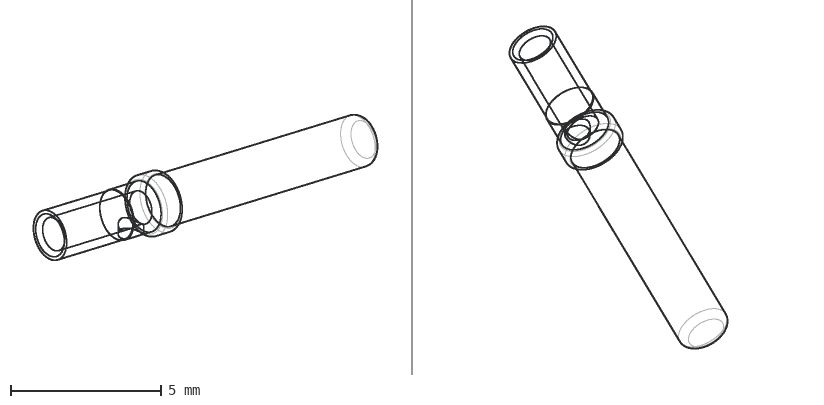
import cadquery as cq
import math

length = 13.63

barrel_diameter = 1.72
shoulder_diameter = 1.76
body_diameter = 1.79
collar_diameter = 2.13

barrel_length = 2.89
collar_start = 4.09
collar_end = 4.92

shoulder_chamfer = (shoulder_diameter - barrel_diameter) / 2
collar_fillet = 0.12
tip_fillet = 0.25

bore_diameter = 1.15
bore_mouth_diameter = 1.47
bore_depth = 3.95
drill_point_angle = 118.0
mouth_chamfer = (bore_mouth_diameter - bore_diameter) / 2

inspection_diameter = 0.85
inspection_position = 3.52

front = -length / 2


def cylinder(diameter, start, end):
    """Cylinder along +Y between two distances from the open end."""
    plane = cq.Workplane("XZ", origin=(0, front + start, 0))
    return plane.circle(diameter / 2).extrude(start - end)


def make_body():
    barrel = cylinder(barrel_diameter, 0, barrel_length)
    shoulder = cylinder(shoulder_diameter, barrel_length, collar_end)
    shoulder = shoulder.faces("<Y").chamfer(shoulder_chamfer)
    body = cylinder(body_diameter, collar_end, length)
    body = body.faces(">Y").edges().fillet(tip_fillet)
    return barrel.union(shoulder).union(body)


def make_collar():
    return cylinder(collar_diameter, collar_start, collar_end).edges("%CIRCLE").fillet(collar_fillet)


def make_bore():
    """Revolved cutter: chamfered mouth, straight bore and conical bottom."""
    bore_radius = bore_diameter / 2
    point_depth = bore_radius / math.tan(math.radians(drill_point_angle / 2))
    profile = (
        cq.Workplane("XY", origin=(0, front, 0))
        .lineTo(bore_mouth_diameter / 2, 0)
        .lineTo(bore_radius, mouth_chamfer)
        .lineTo(bore_radius, bore_depth)
        .lineTo(0, bore_depth + point_depth)
        .close()
    )
    return profile.revolve(360, (0, 0, 0), (0, 1, 0))


def make_inspection_hole():
    plane = cq.Workplane("XY", origin=(0, front + inspection_position, 0))
    return plane.circle(inspection_diameter / 2).extrude(-collar_diameter / 2)


result = make_body().cut(make_inspection_hole()).union(make_collar()).cut(make_bore())